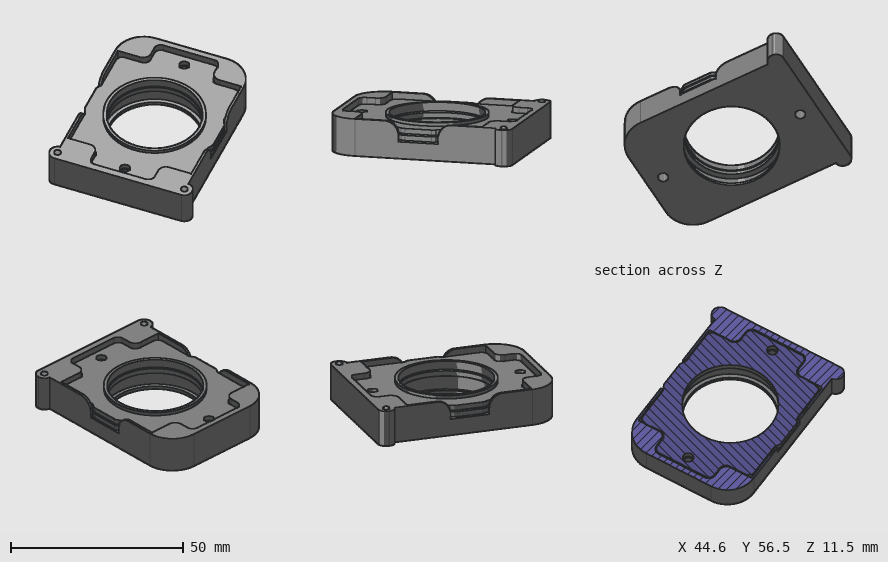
import cadquery as cq
import math

HALF_WIDTH = 20.1
REAR_Y = 28.1
FRONT_Y = -28.35
REAR_TOP_Z = 11.0
FRONT_TOP_Z = 10.8
REAR_CORNER_RADIUS = 9.0

LUG_LENGTH = 5.0
LUG_RADIUS = 2.4
LUG_OUTER_X = 22.3
LUG_X = LUG_OUTER_X - LUG_RADIUS
LUG_Y = FRONT_Y + LUG_LENGTH / 2
DOME_RADIUS = 1.0
DOME_HEIGHT = 0.7

POCKET_FLOOR_Z = 5.0
POCKET_HALF_WIDTH = 19.3
BODY_HALF_LENGTH = 19.2
ARM_HALF_WIDTH = 9.95
POCKET_HALF_LENGTH = 26.25
ARM_END_FILLET = 2.0
POCKET_ROOT_FILLET = 2.5

PLATE_THICKNESS = 1.5
PLATE_GAP = 0.5
PLATE_HALF_WIDTH = 19.15
END_CLEARANCE = 0.2
SIDE_CLEARANCE = 0.05
PLATE_CORNER_FILLET = 2.0
PLATE_ROOT_FILLET = 2.0
TAB_FILLET = 2.0
TAB_HALF_WIDTH = 4.0
LOWER_PLATE_Z = POCKET_FLOOR_Z + PLATE_GAP
UPPER_PLATE_Z = LOWER_PLATE_Z + PLATE_THICKNESS + PLATE_GAP

BORE_DIAMETER = 27.9
RIM_DIAMETER = 29.9
RIM_HEIGHT = 1.0
COUNTERBORE_DIAMETER = 30.4
LIP_THICKNESS = 1.0
SCREW_HOLE_DIAMETER = 3.0
SCREW_HOLE_Y = 22.8

NOTCH_HALF_WIDTH = 6.0
NOTCH_RADIUS = 4.0


def cylinder(diameter, bottom_z, top_z, x=0, y=0):
    """Upright cylinder between two heights."""
    return cq.Workplane("XY", origin=(x, y, bottom_z)).circle(diameter / 2).extrude(top_z - bottom_z)


def block(half_width, back_y, front_y, bottom_z, top_z):
    """Box centred on X between two Y and two Z positions."""
    return (
        cq.Workplane("XY", origin=(0, (back_y + front_y) / 2, bottom_z))
        .rect(2 * half_width, back_y - front_y)
        .extrude(top_z - bottom_z)
    )


def cross(body_half_width, body_half_length, arm_half_width, half_length, root_fillet, bottom_z, height):
    """Wide body with a narrower arm at the front and rear; arm ends and arm roots are rounded."""
    top_z = bottom_z + height
    body = block(body_half_width, body_half_length, -body_half_length, bottom_z, top_z)
    arms = block(arm_half_width, half_length, -half_length, bottom_z, top_z)
    arms = arms.edges("|Z").fillet(ARM_END_FILLET)
    margin = 0.55
    roots = cq.selectors.BoxSelector(
        (-arm_half_width - margin, -body_half_length - margin, bottom_z),
        (arm_half_width + margin, body_half_length + margin, top_z),
    )
    return body.union(arms).edges("|Z").edges(roots).fillet(root_fillet)


def screw_holes(bottom_z, top_z):
    """Cutters for the front and rear screw holes."""
    front = cylinder(SCREW_HOLE_DIAMETER, bottom_z, top_z, y=-SCREW_HOLE_Y)
    rear = cylinder(SCREW_HOLE_DIAMETER, bottom_z, top_z, y=SCREW_HOLE_Y)
    return front.union(rear)


def notch_cutter():
    """Slot across both side walls; each shoulder is a quarter round ending level with its top face."""
    shoulder_y = NOTCH_HALF_WIDTH + NOTCH_RADIUS
    arc_offset = NOTCH_RADIUS * math.sqrt(0.5)
    rear_centre_z = REAR_TOP_Z - NOTCH_RADIUS
    front_centre_z = FRONT_TOP_Z - NOTCH_RADIUS
    front_arc_mid = (arc_offset - shoulder_y, front_centre_z + arc_offset)
    return (
        cq.Workplane("YZ")
        .moveTo(-NOTCH_HALF_WIDTH, POCKET_FLOOR_Z)
        .lineTo(NOTCH_HALF_WIDTH, POCKET_FLOOR_Z)
        .lineTo(NOTCH_HALF_WIDTH, rear_centre_z)
        .threePointArc((shoulder_y - arc_offset, rear_centre_z + arc_offset), (shoulder_y, REAR_TOP_Z))
        .lineTo(-shoulder_y, REAR_TOP_Z)
        .lineTo(-shoulder_y, FRONT_TOP_Z)
        .threePointArc(front_arc_mid, (-NOTCH_HALF_WIDTH, front_centre_z))
        .close()
        .extrude(HALF_WIDTH, both=True)
    )


def dome(side):
    """Shallow spherical dome on a lug, completed to a full sphere inside the housing."""
    sphere_radius = (DOME_RADIUS**2 + DOME_HEIGHT**2) / (2 * DOME_HEIGHT)
    sphere_z = FRONT_TOP_Z + DOME_HEIGHT - sphere_radius
    return cq.Workplane("XY", origin=(side * LUG_X, LUG_Y, sphere_z)).sphere(sphere_radius)


def make_housing():
    rear_half = block(HALF_WIDTH, REAR_Y, 0, 0, REAR_TOP_Z)
    rear_half = rear_half.edges("|Z and >Y").fillet(REAR_CORNER_RADIUS)
    front_half = block(HALF_WIDTH, 0, LUG_Y, 0, FRONT_TOP_Z)
    lug_bar = block(LUG_OUTER_X, FRONT_Y + LUG_LENGTH, FRONT_Y, 0, FRONT_TOP_Z)
    lug_bar = lug_bar.edges("|Z").fillet(LUG_RADIUS)
    housing = rear_half.union(front_half).union(lug_bar)
    for side in (-1, 1):
        housing = housing.union(dome(side))

    pocket = cross(
        POCKET_HALF_WIDTH, BODY_HALF_LENGTH, ARM_HALF_WIDTH, POCKET_HALF_LENGTH,
        POCKET_ROOT_FILLET, POCKET_FLOOR_Z, REAR_TOP_Z - POCKET_FLOOR_Z,
    )
    housing = housing.cut(pocket).cut(notch_cutter())
    housing = housing.cut(cylinder(COUNTERBORE_DIAMETER, LIP_THICKNESS, POCKET_FLOOR_Z))
    housing = housing.cut(cylinder(BORE_DIAMETER, 0, LIP_THICKNESS))
    return housing.cut(screw_holes(0, POCKET_FLOOR_Z))


def side_tabs(bottom_z):
    """Tabs filling the notches; each end blends into the plate edge with an S of two equal arcs."""
    depth = HALF_WIDTH - PLATE_HALF_WIDTH
    arc_angle = math.acos(1 - depth / (2 * TAB_FILLET))
    arc_run = TAB_FILLET * math.sin(arc_angle)
    mid_run = TAB_FILLET * math.sin(arc_angle / 2)
    mid_drop = TAB_FILLET * (1 - math.cos(arc_angle / 2))
    middle_x = HALF_WIDTH - depth / 2
    bend_y = TAB_HALF_WIDTH + arc_run
    root_y = bend_y + arc_run

    outer_arc_mid = (HALF_WIDTH - mid_drop, TAB_HALF_WIDTH + mid_run)
    inner_arc_mid = (PLATE_HALF_WIDTH + mid_drop, root_y - mid_run)
    half_tab = (
        cq.Workplane("XY", origin=(0, 0, bottom_z))
        .lineTo(HALF_WIDTH, 0)
        .lineTo(HALF_WIDTH, TAB_HALF_WIDTH)
        .threePointArc(outer_arc_mid, (middle_x, bend_y))
        .threePointArc(inner_arc_mid, (PLATE_HALF_WIDTH, root_y))
        .lineTo(0, root_y)
        .close()
        .extrude(PLATE_THICKNESS)
    )
    right_tab = half_tab.union(half_tab.mirror("XZ"))
    return right_tab.union(right_tab.mirror("YZ"))


def make_plate(bottom_z, rim_height=0):
    """Cross-shaped plate with side tabs, a bore, two screw holes and an optional rim round the bore."""
    top_z = bottom_z + PLATE_THICKNESS
    plate = cross(
        PLATE_HALF_WIDTH, BODY_HALF_LENGTH - SIDE_CLEARANCE, ARM_HALF_WIDTH - SIDE_CLEARANCE,
        POCKET_HALF_LENGTH - END_CLEARANCE, PLATE_ROOT_FILLET, bottom_z, PLATE_THICKNESS,
    )
    plate = plate.edges("(|Z and >X) or (|Z and <X)").fillet(PLATE_CORNER_FILLET)
    plate = plate.union(side_tabs(bottom_z))
    if rim_height:
        plate = plate.union(cylinder(RIM_DIAMETER, top_z, top_z + rim_height))
    plate = plate.cut(cylinder(BORE_DIAMETER, bottom_z, top_z + rim_height))
    return plate.cut(screw_holes(bottom_z, top_z))


housing = make_housing()
lower_plate = make_plate(LOWER_PLATE_Z)
upper_plate = make_plate(UPPER_PLATE_Z, RIM_HEIGHT)

result = cq.Compound.makeCompound([housing.val(), lower_plate.val(), upper_plate.val()])